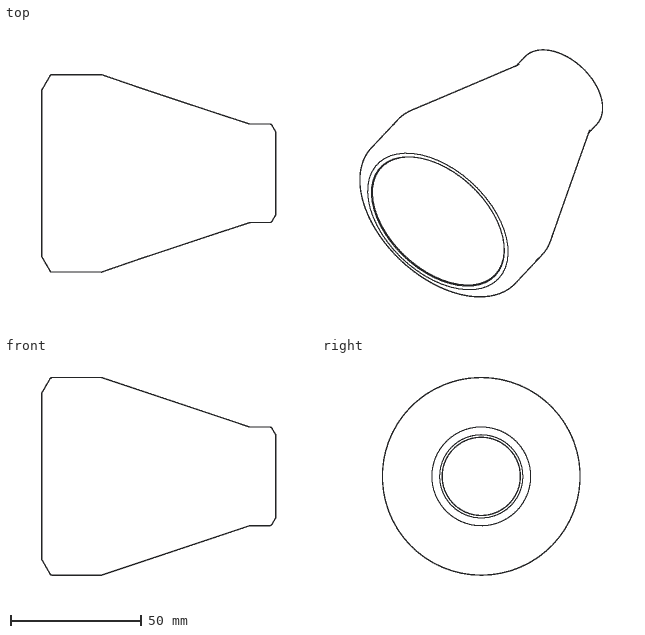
import cadquery as cq
import math

length = 90.0
large_diameter = 76.1
large_wall = 8.0
small_diameter = 38.0
small_wall = 4.0

large_collar_end = 23.0
small_collar_start = 80.0
bore_shift = large_wall
large_bore_end = large_collar_end - bore_shift
small_bore_start = small_collar_start - bore_shift

bevel_angle = math.radians(30)
land_share = 0.25
edge_round = 1.0
bore_edge_break = 0.3

large_radius = large_diameter / 2
small_radius = small_diameter / 2
large_bore_radius = large_radius - large_wall
small_bore_radius = small_radius - small_wall
large_land_radius = large_bore_radius + land_share * large_wall
small_land_radius = small_bore_radius + land_share * small_wall
large_bevel_depth = (large_radius - large_land_radius) * math.tan(bevel_angle)
small_bevel_depth = (small_radius - small_land_radius) * math.tan(bevel_angle)


def make_reducer_body():
    """Revolve the wall section (X along the axis, Z as radius) about X."""
    section = (
        cq.Workplane("XZ")
        .moveTo(bore_edge_break, large_bore_radius)
        .lineTo(0, large_bore_radius + bore_edge_break)
        .lineTo(0, large_land_radius)
        .lineTo(large_bevel_depth, large_radius)
        .lineTo(large_collar_end, large_radius)
        .lineTo(small_collar_start, small_radius)
        .lineTo(length - small_bevel_depth, small_radius)
        .lineTo(length, small_land_radius)
        .lineTo(length, small_bore_radius)
        .lineTo(small_bore_start, small_bore_radius)
        .lineTo(large_bore_end, large_bore_radius)
        .close()
    )
    return section.revolve(360, (0, 0, 0), (1, 0, 0))


def round_outer_edge(body, x, radius):
    """Fillet the outer circular edge of the given radius at position x."""
    margin = 0.1
    reach = radius + margin
    edge_zone = cq.selectors.BoxSelector(
        (x - margin, -reach, -reach),
        (x + margin, reach, reach),
        boundingbox=True,
    )
    return body.edges(edge_zone).edges("%CIRCLE").fillet(edge_round)


outer_edges = (
    (large_bevel_depth, large_radius),
    (large_collar_end, large_radius),
    (small_collar_start, small_radius),
    (length - small_bevel_depth, small_radius),
)

result = make_reducer_body()
for edge_x, edge_radius in outer_edges:
    result = round_outer_edge(result, edge_x, edge_radius)